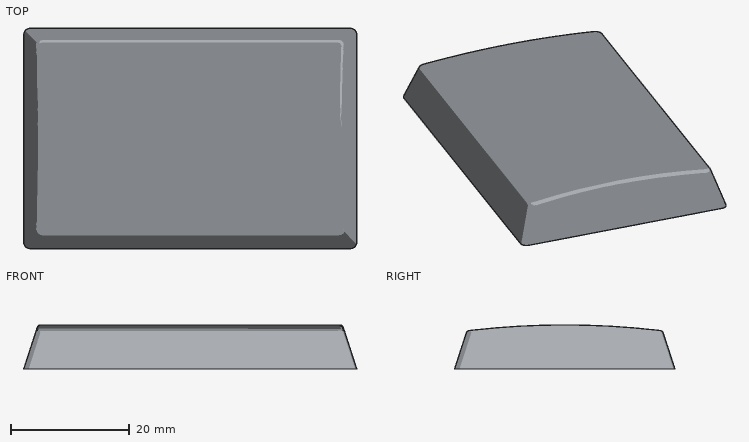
import cadquery as cq
import math

length = 56.4
width = 37.35
height = 7.5

wall_lean = 18.0
crown_drop = 0.95
corner_radius = 1.25
rim_radius = 0.6

wall_inset = height * math.tan(math.radians(wall_lean))
crown_half_width = width / 2 - wall_inset
crown_radius = (crown_half_width**2 + crown_drop**2) / (2 * crown_drop)


def tapered_block():
    """Rectangular block whose four walls lean inward, with rounded corner edges."""
    block = cq.Workplane("XY").rect(length, width).extrude(height, taper=wall_lean)
    corner_edges = block.edges("not(#Z)")
    return corner_edges.fillet(corner_radius)


def crown_cylinder():
    """Large cylinder along X whose upper side is the crowned top."""
    return (
        cq.Workplane("YZ")
        .center(0, height - crown_radius)
        .circle(crown_radius)
        .extrude(length / 2, both=True)
    )


crowned_block = tapered_block().intersect(crown_cylinder())
result = crowned_block.faces(">Z").edges().fillet(rim_radius)